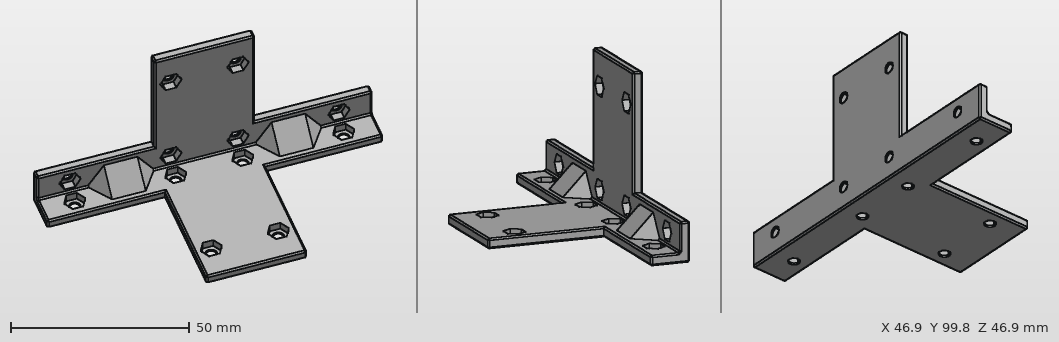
import cadquery as cq
import math

length = 99.8
leg = 46.9
thickness = 3.0
arm_width = 11.9
tab_width = 29.8
edge_chamfer = 0.5

hole_diameter = 3.4
nut_across_flats = 5.5
nut_depth = 2.4
hole_near = 7.0
hole_far = 36.9
hole_inner_y = 10.0
hole_outer_y = 40.0

gusset_y = 24.95
gusset_face_width = 10.0
gusset_root_width = 20.0
gusset_reach = 10.0

diagonal_angle = 45
hexagon_half_step = 30

length_tolerance = 0.001


def mirror_plate(plate):
    """Turn a feature of the flat plate into its twin on the upright plate (swap X and Z)."""
    return plate.mirror("XY").rotate((0, 0, 0), (0, 1, 0), -90)


def flat_plate():
    arms = cq.Workplane("XY").box(arm_width, length, thickness, centered=(False, True, False))
    tab = cq.Workplane("XY").box(leg, tab_width, thickness, centered=(False, True, False))
    return arms.union(tab)


def is_inside_step(edge):
    """True for the short edges in the re-entrant corners between an arm and a tab."""
    center = edge.Center()
    on_tab_side = math.isclose(abs(center.y), tab_width / 2, abs_tol=length_tolerance)
    at_arm_edge = any(math.isclose(v, arm_width, abs_tol=length_tolerance) for v in (center.x, center.z))
    return on_tab_side and at_arm_edge


def chamfered_bracket():
    plate = flat_plate()
    bracket = plate.union(mirror_plate(plate)).clean()
    edges = [edge for edge in bracket.edges().vals() if not is_inside_step(edge)]
    return bracket.newObject(edges).chamfer(edge_chamfer)


def gusset(center_y):
    """Triangular web whose ends narrow from the corner out to its sloping face."""
    depth = gusset_reach - thickness
    web = (
        cq.Workplane("XZ", origin=(thickness, center_y + gusset_root_width / 2, thickness))
        .polyline([(0, 0), (depth, 0), (0, depth)])
        .close()
        .extrude(gusset_root_width)
    )
    face_distance = depth / math.sqrt(2)
    wedge = (
        cq.Workplane("XY")
        .polyline([
            (0, -gusset_root_width / 2),
            (face_distance, -gusset_face_width / 2),
            (face_distance, gusset_face_width / 2),
            (0, gusset_root_width / 2),
        ])
        .close()
        .extrude(depth, both=True)
        .rotate((0, 0, 0), (0, 1, 0), -diagonal_angle)
        .translate((thickness, center_y, thickness))
    )
    return web.intersect(wedge)


def plate_holes():
    """Through holes and nut pockets of the flat plate, as a solid to cut away."""
    points = [(x, side * hole_inner_y) for x in (hole_near, hole_far) for side in (-1, 1)]
    points += [(hole_near, side * hole_outer_y) for side in (-1, 1)]
    holes = cq.Workplane("XY").pushPoints(points).circle(hole_diameter / 2).extrude(thickness)
    nut_corner_diameter = nut_across_flats / math.cos(math.radians(hexagon_half_step))
    pocket = (
        cq.Workplane("XY")
        .polygon(6, nut_corner_diameter)
        .extrude(nut_depth)
        .rotate((0, 0, 0), (0, 0, 1), hexagon_half_step)
        .translate((0, 0, thickness - nut_depth))
    )
    for x, y in points:
        holes = holes.union(pocket.translate((x, y, 0)))
    return holes


result = chamfered_bracket()
for side in (-1, 1):
    result = result.union(gusset(side * gusset_y))

holes = plate_holes()
result = result.cut(holes).cut(mirror_plate(holes))